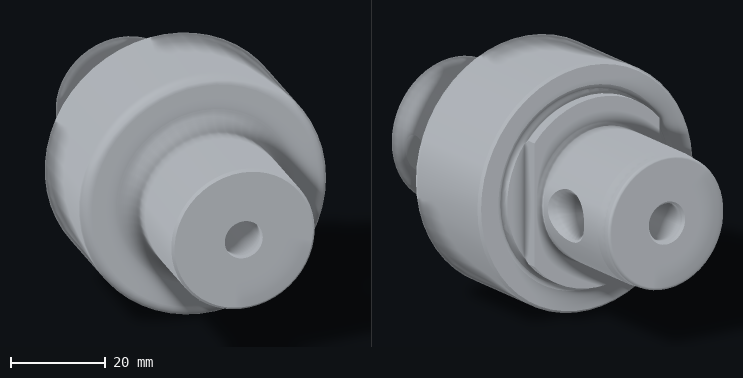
import cadquery as cq
import math

total_length = 80.0
collar_start = 26.1
housing_start = 30.0
housing_end = 55.0
bore_floor = 50.0

journal_radius = 15.0
lead_radius = 14.8
lead_length = 1.8
lead_taper_end = 3.9
end_rounding = 0.6
journal_end = 24.2

collar_radius = 21.0
collar_land_end = 28.3
flat_distance = 16.0
flat_end = 29.8

journal_undercut_depth = 0.2
journal_undercut_taper = 0.9
journal_undercut_rounding = 0.7
collar_undercut_depth = 0.6
collar_undercut_taper = 1.3
collar_undercut_rounding = 1.1

flange_radius = 21.6
flange_start = 30.8

seat_center = 15.7
seat_mouth_radius = 6.8
seat_depth = seat_mouth_radius

passage_radius = 4.2
passage_chamfer = 0.5

housing_radius = 27.5
front_chamfer = 0.6
back_rounding = 2.2
bore_chamfer_width = 1.0
bore_chamfer_depth = 0.6
neck_radius = 16.0
neck_rounding = 3.8
neck_chamfer = 0.6

pad_center = 70.6
pad_radius = 3.8


def quarter_round_middle(center_x, center_y, radius, x_side, y_side):
    """Middle point of a quarter circle lying on the given sides of its center."""
    offset = radius * math.sqrt(0.5)
    return (center_x + x_side * offset, center_y + y_side * offset)


def undercut(profile, depth, taper, rounding, land_radius, land_end, shoulder):
    """Continue a half profile from the end of a land, through an undercut, to a shoulder face."""
    floor_radius = land_radius - depth
    arc_start = shoulder - rounding
    arc_middle = quarter_round_middle(arc_start, floor_radius + rounding, rounding, 1, -1)
    return (
        profile
        .lineTo(land_end + taper, floor_radius)
        .lineTo(arc_start, floor_radius)
        .threePointArc(arc_middle, (shoulder, floor_radius + rounding))
    )


def turned(profile):
    """Revolve a half profile drawn in the XY plane around the X axis."""
    return profile.close().revolve(360, (0, 0, 0), (1, 0, 0))


def passage():
    """Axial bore through the full length."""
    return cq.Workplane("YZ").circle(passage_radius).extrude(total_length)


def stem_blank():
    """Turned journal, collar and flange."""
    face_radius = lead_radius - end_rounding
    profile = (
        cq.Workplane("XY")
        .moveTo(0, 0)
        .lineTo(0, face_radius)
        .threePointArc(
            quarter_round_middle(end_rounding, face_radius, end_rounding, -1, 1),
            (end_rounding, lead_radius),
        )
        .lineTo(lead_length, lead_radius)
        .lineTo(lead_taper_end, journal_radius)
        .lineTo(journal_end, journal_radius)
    )
    profile = undercut(
        profile, journal_undercut_depth, journal_undercut_taper, journal_undercut_rounding,
        journal_radius, journal_end, collar_start,
    )
    profile = (
        profile
        .lineTo(collar_start, collar_radius)
        .lineTo(collar_land_end, collar_radius)
    )
    profile = undercut(
        profile, collar_undercut_depth, collar_undercut_taper, collar_undercut_rounding,
        collar_radius, collar_land_end, flange_start,
    )
    profile = (
        profile
        .lineTo(flange_start, flange_radius)
        .lineTo(bore_floor, flange_radius)
        .lineTo(bore_floor, 0)
    )
    return turned(profile)


def wrench_flats():
    """Material outside the two parallel flats of the collar."""
    flat_length = flat_end - collar_start
    outside = cq.Workplane("XY")
    for side in (1, -1):
        block = cq.Workplane("XY").box(flat_length, flange_radius, 2 * flange_radius)
        middle = ((collar_start + flat_end) / 2, side * (flat_distance + flange_radius / 2), 0)
        outside = outside.add(block.translate(middle))
    return outside.combine()


def screw_seat():
    """Cone sunk into the +Y side of the journal, its mouth on the journal's outermost line."""
    return cq.Workplane(
        cq.Solid.makeCone(
            seat_mouth_radius, 0, seat_depth,
            cq.Vector(seat_center, journal_radius, 0), cq.Vector(0, -1, 0),
        )
    )


def make_stem():
    """Stem with wrench flats, a screw seat on its +Y side and the axial passage."""
    return (
        stem_blank()
        .cut(wrench_flats())
        .cut(screw_seat())
        .cut(passage())
        .faces("<X")
        .edges(cq.selectors.RadiusNthSelector(0))
        .chamfer(passage_chamfer)
    )


def housing_blank():
    """Turned housing drum and neck, open at the front for the stem flange."""
    rounding_start = housing_end - back_rounding
    rounding_base = housing_radius - back_rounding
    neck_start = housing_end + neck_rounding
    neck_rounding_top = neck_radius + neck_rounding
    profile = (
        cq.Workplane("XY")
        .moveTo(bore_floor, 0)
        .lineTo(bore_floor, flange_radius)
        .lineTo(housing_start + bore_chamfer_depth, flange_radius)
        .lineTo(housing_start, flange_radius + bore_chamfer_width)
        .lineTo(housing_start, housing_radius - front_chamfer)
        .lineTo(housing_start + front_chamfer, housing_radius)
        .lineTo(rounding_start, housing_radius)
        .threePointArc(
            quarter_round_middle(rounding_start, rounding_base, back_rounding, 1, 1),
            (housing_end, rounding_base),
        )
        .lineTo(housing_end, neck_rounding_top)
        .threePointArc(
            quarter_round_middle(neck_start, neck_rounding_top, neck_rounding, -1, -1),
            (neck_start, neck_radius),
        )
        .lineTo(total_length - neck_chamfer, neck_radius)
        .lineTo(total_length, neck_radius - neck_chamfer)
        .lineTo(total_length, 0)
    )
    return turned(profile)


def neck_pad():
    """Round pad reaching from the neck axis to its flat top on the +Y side."""
    pad_top = cq.Workplane("XZ", origin=(pad_center, neck_radius, 0))
    return pad_top.circle(pad_radius).extrude(neck_radius)


def make_housing():
    """Housing with the pad on the +Y side of its neck and the axial passage."""
    return housing_blank().union(neck_pad()).cut(passage())


stem = make_stem()
housing = make_housing()

result = cq.Compound.makeCompound([stem.solids().val(), housing.solids().val()])